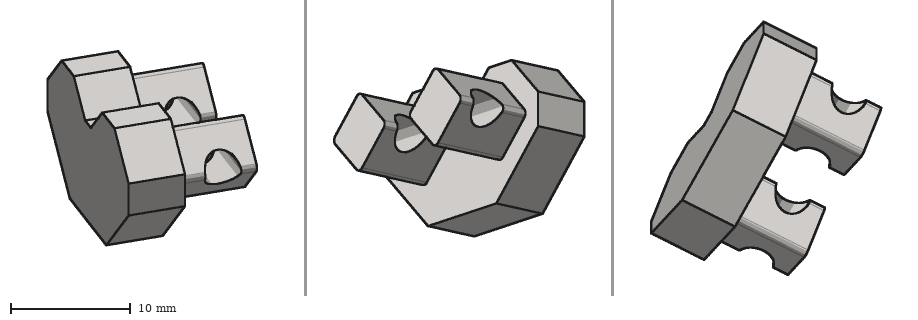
import cadquery as cq

plate_width = 20.0
plate_height = 12.0
plate_thickness = 5.0
upper_chamfer = 3.5
lower_chamfer = 5.5
notch_depth = 2.8

pin_spacing = 10.0
pin_side = 5.0
pin_length = 7.0
pin_edge_radius = 0.5

hole_diameter = 3.2
hole_from_pin_end = 3.0

half_width = plate_width / 2
lobe_x = pin_spacing / 2
lobe_radius = half_width - lobe_x
plate_top = lobe_radius
plate_bottom = plate_top - plate_height
pin_end = plate_thickness + pin_length


def make_plate():
    """Plate outline in XZ, from Y = 0 to the plate thickness."""
    flat_outer_x = half_width - upper_chamfer
    flat_inner_x = 2 * lobe_x - flat_outer_x
    notch_floor_x = flat_inner_x - notch_depth
    right_half = [
        (notch_floor_x, plate_top - notch_depth),
        (flat_inner_x, plate_top),
        (flat_outer_x, plate_top),
        (half_width, plate_top - upper_chamfer),
        (half_width, plate_bottom + lower_chamfer),
        (half_width - lower_chamfer, plate_bottom),
    ]
    left_half = [(-x, z) for x, z in reversed(right_half)]
    outline = cq.Workplane("XZ").polyline(right_half + left_half).close()
    return outline.extrude(-plate_thickness)


def make_pin(x):
    """Square pin with rounded long edges and one corner pointing up."""
    pin = (
        cq.Workplane("XZ", origin=(0, plate_thickness, 0))
        .rect(pin_side, pin_side)
        .extrude(-pin_length)
        .edges("|Y")
        .fillet(pin_edge_radius)
    )
    return pin.rotate((0, 0, 0), (0, 1, 0), 45).translate((x, 0, 0))


def make_cross_hole():
    """Cylinder along X that passes through both pins."""
    return (
        cq.Workplane("YZ", origin=(-half_width, pin_end - hole_from_pin_end, 0))
        .circle(hole_diameter / 2)
        .extrude(plate_width)
    )


result = make_plate()
for pin_x in (-lobe_x, lobe_x):
    result = result.union(make_pin(pin_x))
result = result.cut(make_cross_hole())